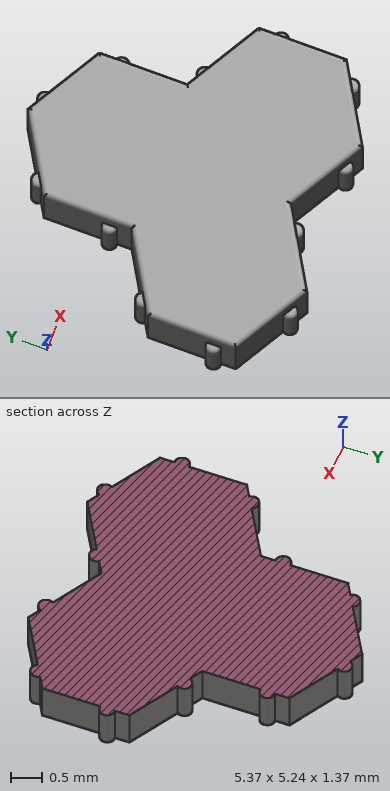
import cadquery as cq
import math

overall_width = 5.37
overall_depth = 5.24
body_height = 1.37
body_edge_radius = 0.075

pin_radius = 0.13
pin_height = 1.04
pin_edge_radius = 0.065
pin_outward_offset = 0.01
pin_edge_fraction = 0.75

half_width = (overall_width - 2 * (pin_radius + pin_outward_offset)) / 4
half_edge = overall_depth / 7

left_grid = [(0, 4), (-1, 3), (-1, 1), (-2, 0), (-2, -2), (-1, -3)]
bottom_notch = [(0, -2)]
right_grid = [(-column, row) for column, row in reversed(left_grid[1:])]
corners = [
    (column * half_width, row * half_edge)
    for column, row in left_grid + bottom_notch + right_grid
]


def make_body():
    """Three merged hexagons with a rounded top rim."""
    block = cq.Workplane("XY").polyline(corners).close().extrude(body_height)
    return block.faces(">Z").edges().fillet(body_edge_radius)


def pin_center(start, end):
    """Place a pin along one wall, shifted slightly outward."""
    run = end[0] - start[0]
    rise = end[1] - start[1]
    length = math.hypot(run, rise)
    x = start[0] + pin_edge_fraction * run + pin_outward_offset * rise / length
    y = start[1] + pin_edge_fraction * rise - pin_outward_offset * run / length
    return (x, y)


def make_pins():
    """One round-topped pin on every wall."""
    centers = [pin_center(start, end) for start, end in zip(corners, corners[1:] + corners[:1])]
    pins = cq.Workplane("XY").pushPoints(centers).circle(pin_radius).extrude(pin_height)
    return pins.faces(">Z").edges().fillet(pin_edge_radius)


result = make_body().union(make_pins())